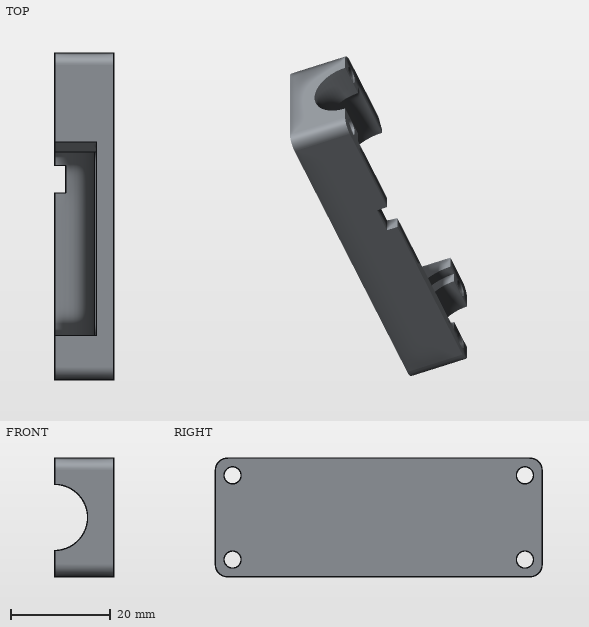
import cadquery as cq

DEPTH = 12.0
LENGTH = 66.0
HEIGHT = 24.0
CORNER_RADIUS = 2.5

END_BORE_DIAMETER = 13.3
CAVITY_DIAMETER = 18.1
CAVITY_LENGTH = 52.0

SCREW_HOLE_DIAMETER = 3.4
SCREW_HOLE_INSET = 3.5

WINDOW_FRONT_Y = -24.0
WINDOW_BACK_Y = 13.0
WINDOW_FLOOR_Z = 4.0
WINDOW_DEPTH = 8.5
WINDOW_BEVEL = 2.0

NOTCH_WIDTH = 5.5
NOTCH_CENTER_Y = 7.5
NOTCH_DEPTH = 2.25

TOP_Z = HEIGHT / 2


def make_block():
    """Block with its four X-direction edges rounded."""
    block = cq.Workplane("XY").box(DEPTH, LENGTH, HEIGHT, centered=(False, True, True))
    return block.edges("|X").fillet(CORNER_RADIUS)


def make_bore(diameter, length):
    """Cylinder along Y, centred on the origin."""
    return cq.Workplane("XZ").circle(diameter / 2).extrude(length / 2, both=True)


def make_screw_holes():
    """Four through holes, one near each corner."""
    spacing_y = LENGTH - 2 * SCREW_HOLE_INSET
    spacing_z = HEIGHT - 2 * SCREW_HOLE_INSET
    return (
        cq.Workplane("YZ")
        .rect(spacing_y, spacing_z, forConstruction=True)
        .vertices()
        .circle(SCREW_HOLE_DIAMETER / 2)
        .extrude(DEPTH)
    )


def make_window():
    """Window from the parting face, with its back edge bevelled at the top."""
    outline = [
        (WINDOW_FRONT_Y, WINDOW_FLOOR_Z),
        (WINDOW_BACK_Y, WINDOW_FLOOR_Z),
        (WINDOW_BACK_Y, TOP_Z - WINDOW_BEVEL),
        (WINDOW_BACK_Y + WINDOW_BEVEL, TOP_Z),
        (WINDOW_FRONT_Y, TOP_Z),
    ]
    return cq.Workplane("YZ").polyline(outline).close().extrude(WINDOW_DEPTH)


def make_notch():
    """Notch reaching from the bottom face up into the cavity."""
    notch = cq.Workplane("XY").box(NOTCH_DEPTH, NOTCH_WIDTH, TOP_Z, centered=(False, True, False))
    return notch.translate((0, NOTCH_CENTER_Y, -TOP_Z))


result = (
    make_block()
    .cut(make_bore(END_BORE_DIAMETER, LENGTH))
    .cut(make_bore(CAVITY_DIAMETER, CAVITY_LENGTH))
    .cut(make_screw_holes())
    .cut(make_window())
    .cut(make_notch())
)